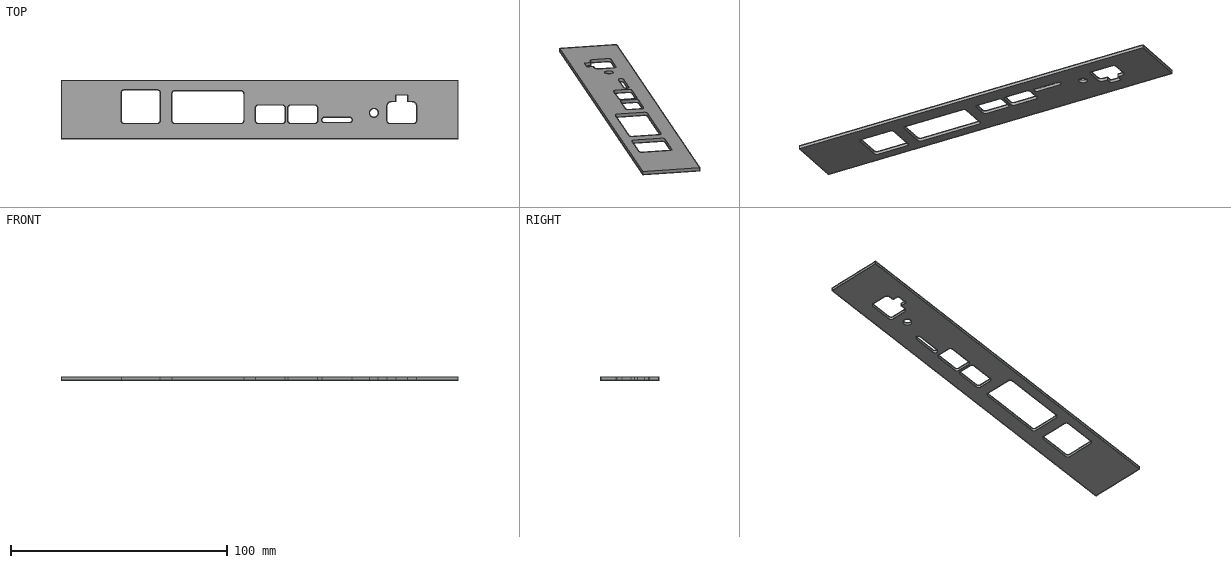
import cadquery as cq

plate_length = 183.73
plate_width = 27.0
plate_thickness = 1.59

port_floor = -6.4
port_corner_radius = 1.3

square_port_left = -64.1
square_port_width = 18.0
square_port_height = 15.5

wide_port_left = -40.65
wide_port_width = 33.25
wide_port_height = 15.1

small_port_left = -2.0
small_port_width = 13.8
small_port_height = 8.5
small_port_pitch = 15.0
small_port_count = 2

slot_left = 28.75
slot_length = 14.0
slot_width = 2.4
slot_center_y = -4.75

hole_diameter = 4.0
hole_x = 52.85
hole_y = -1.5

keyed_center_x = 65.75
keyed_width = 13.7
keyed_height = 10.05
keyed_upper_radius = 2.0
keyed_lower_radius = 1.4
tab_width = 5.5
tab_height = 3.1
tab_corner_radius = 0.4


def rectangular_port(left, width, height):
    """Cutter for a rounded rectangle standing on the common lower edge."""
    return (
        cq.Workplane("XY")
        .center(left + width / 2, port_floor + height / 2)
        .rect(width, height)
        .extrude(plate_thickness)
        .edges("|Z")
        .fillet(port_corner_radius)
    )


def card_slot():
    """Cutter for the narrow slot."""
    return (
        cq.Workplane("XY")
        .center(slot_left + slot_length / 2, slot_center_y)
        .slot2D(slot_length, slot_width)
        .extrude(plate_thickness)
    )


def round_hole():
    """Cutter for the round hole."""
    return cq.Workplane("XY").center(hole_x, hole_y).circle(hole_diameter / 2).extrude(plate_thickness)


def keyed_port():
    """Cutter for the rounded rectangle with its upper tab."""
    body = (
        cq.Workplane("XY")
        .center(keyed_center_x, port_floor + keyed_height / 2)
        .rect(keyed_width, keyed_height)
        .extrude(plate_thickness)
        .edges("|Z and >Y")
        .fillet(keyed_upper_radius)
        .edges("|Z and <Y")
        .fillet(keyed_lower_radius)
    )
    tab_reach = keyed_height + tab_height
    tab = (
        cq.Workplane("XY")
        .center(keyed_center_x, port_floor + tab_reach / 2)
        .rect(tab_width, tab_reach)
        .extrude(plate_thickness)
        .edges("|Z and >Y")
        .fillet(tab_corner_radius)
    )
    return body.union(tab)


result = cq.Workplane("XY").box(plate_length, plate_width, plate_thickness, centered=(True, True, False))

result = result.cut(rectangular_port(square_port_left, square_port_width, square_port_height))
result = result.cut(rectangular_port(wide_port_left, wide_port_width, wide_port_height))
for index in range(small_port_count):
    left = small_port_left + index * small_port_pitch
    result = result.cut(rectangular_port(left, small_port_width, small_port_height))
result = result.cut(card_slot())
result = result.cut(round_hole())
result = result.cut(keyed_port())